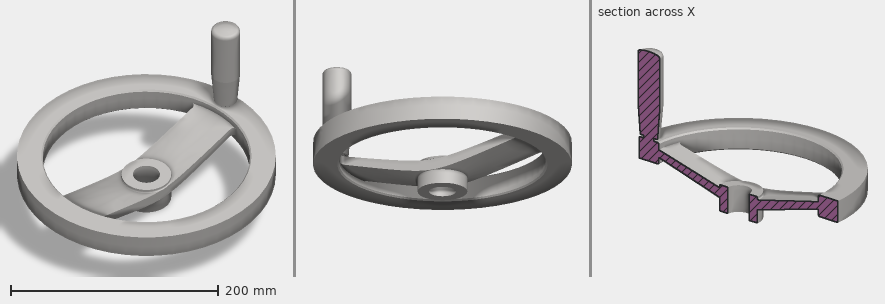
import cadquery as cq

RIM_OUTER_RADIUS = 125.0
RIM_INNER_RADIUS = 100.0
RIM_MIDDLE_RADIUS = (RIM_INNER_RADIUS + RIM_OUTER_RADIUS) / 2
RIM_HEIGHT = 23.0
RIM_EDGE_CHAMFER = 1.5

HUB_RADIUS = 24.0
HUB_BOTTOM_Z = -51.0
HUB_TOP_Z = -23.0
HUB_ROOT_FILLET = 1.2
HUB_ROOT_RADIUS = HUB_RADIUS + HUB_ROOT_FILLET
BORE_RADIUS = 13.0

SPOKE_WIDTH = 49.4
SPOKE_TOP_AT_HUB_Z = -26.0
SPOKE_TOP_AT_RIM_Z = -7.4
SPOKE_BOTTOM_AT_HUB_Z = -37.0
SPOKE_BOTTOM_AT_RIM_Z = -15.9
SPOKE_CORNER_FILLET = 3.5
SPOKE_ROOT_RADIUS = RIM_MIDDLE_RADIUS

HANDLE_Y = RIM_MIDDLE_RADIUS
GRIP_RADIUS = 14.0
GRIP_FOOT_RADIUS = 11.3
GRIP_FOOT_CHAMFER = 1.0
GRIP_BOTTOM_Z = 2.3
GRIP_TAPER_TOP_Z = 35.0
GRIP_STRAIGHT_TOP_Z = 87.2
DOME_EDGE_RADIUS = 11.2
DOME_EDGE_Z = 91.1
DOME_TOP_Z = 92.5
STEM_RADIUS = 6.6
STEM_EMBED_DEPTH = 5.0


def revolve_about_z(profile):
    """Revolve a closed profile, drawn as radius and height, about the Z axis."""
    return profile.close().revolve(360, (0, 0, 0), (0, 1, 0))


def make_rim():
    ring = (
        cq.Workplane("XY")
        .circle(RIM_OUTER_RADIUS)
        .circle(RIM_INNER_RADIUS)
        .extrude(-RIM_HEIGHT)
    )
    inner_edges = cq.selectors.RadiusNthSelector(0)
    return ring.edges(inner_edges).chamfer(RIM_EDGE_CHAMFER)


def make_spoke_openings():
    """The two through openings beside the strip, with rounded corners at the rim."""
    strip = cq.Workplane("XY").rect(SPOKE_WIDTH, 2 * RIM_OUTER_RADIUS).extrude(HUB_BOTTOM_Z)
    return (
        cq.Workplane("XY")
        .circle(RIM_INNER_RADIUS)
        .extrude(HUB_BOTTOM_Z)
        .cut(strip)
        .edges("|Z")
        .fillet(SPOKE_CORNER_FILLET)
    )


def make_spokes():
    web = revolve_about_z(
        cq.Workplane("XZ")
        .moveTo(0, SPOKE_TOP_AT_HUB_Z)
        .lineTo(HUB_ROOT_RADIUS, SPOKE_TOP_AT_HUB_Z)
        .lineTo(RIM_INNER_RADIUS, SPOKE_TOP_AT_RIM_Z)
        .lineTo(SPOKE_ROOT_RADIUS, SPOKE_TOP_AT_RIM_Z)
        .lineTo(SPOKE_ROOT_RADIUS, SPOKE_BOTTOM_AT_RIM_Z)
        .lineTo(RIM_INNER_RADIUS, SPOKE_BOTTOM_AT_RIM_Z)
        .lineTo(HUB_RADIUS, SPOKE_BOTTOM_AT_HUB_Z)
        .lineTo(0, SPOKE_BOTTOM_AT_HUB_Z)
    )
    return web.cut(make_spoke_openings())


def make_hub():
    """Hub with a concave root fillet where it rises out of the spokes."""
    return revolve_about_z(
        cq.Workplane("XZ")
        .moveTo(0, HUB_BOTTOM_Z)
        .lineTo(HUB_RADIUS, HUB_BOTTOM_Z)
        .lineTo(HUB_RADIUS, SPOKE_TOP_AT_HUB_Z)
        .lineTo(HUB_ROOT_RADIUS, SPOKE_TOP_AT_HUB_Z)
        .radiusArc((HUB_RADIUS, SPOKE_TOP_AT_HUB_Z + HUB_ROOT_FILLET), HUB_ROOT_FILLET)
        .lineTo(HUB_RADIUS, HUB_TOP_Z)
        .lineTo(0, HUB_TOP_Z)
    )


def make_bore():
    return cq.Workplane("XY").circle(BORE_RADIUS).extrude(HUB_BOTTOM_Z)


def make_handle():
    dome_height = DOME_TOP_Z - DOME_EDGE_Z
    dome_radius = (DOME_EDGE_RADIUS**2 + dome_height**2) / (2 * dome_height)
    corner_radius = DOME_EDGE_Z - GRIP_STRAIGHT_TOP_Z
    handle = revolve_about_z(
        cq.Workplane("XZ")
        .moveTo(0, -STEM_EMBED_DEPTH)
        .lineTo(STEM_RADIUS, -STEM_EMBED_DEPTH)
        .lineTo(STEM_RADIUS, GRIP_BOTTOM_Z)
        .lineTo(GRIP_FOOT_RADIUS - GRIP_FOOT_CHAMFER, GRIP_BOTTOM_Z)
        .lineTo(GRIP_FOOT_RADIUS, GRIP_BOTTOM_Z + GRIP_FOOT_CHAMFER)
        .lineTo(GRIP_RADIUS, GRIP_TAPER_TOP_Z)
        .lineTo(GRIP_RADIUS, GRIP_STRAIGHT_TOP_Z)
        .radiusArc((DOME_EDGE_RADIUS, DOME_EDGE_Z), -corner_radius)
        .radiusArc((0, DOME_TOP_Z), -dome_radius)
    )
    return handle.translate((0, HANDLE_Y, 0))


wheel = make_rim().union(make_spokes()).union(make_hub()).cut(make_bore())
result = wheel.union(make_handle())